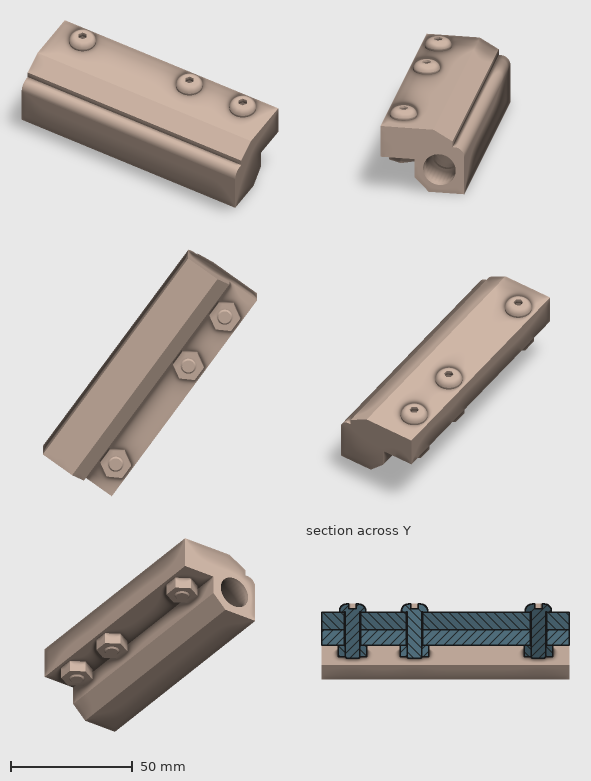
import cadquery as cq
import math

length = 101.6
depth = 35.0
body_height = 20.5
flange_thickness = 6.5
block_depth = 20.8
block_chamfer = 6.0
front_edge_radius = 4.0

port_y = 10.4
port_z = 10.2
port_mouth_diameter = 13.6
port_root_diameter = 12.6
port_taper = 1 / 16
port_depth = (port_mouth_diameter - port_root_diameter) / port_taper
pilot_diameter = 11.1
pilot_depth = 20.3
drill_point_angle = 118.0
drill_point_depth = pilot_diameter / 2 / math.tan(math.radians(drill_point_angle / 2))

plate_thickness = 7.1
plate_front_y = 4.9
bevel_width = 7.9
bevel_drop = 4.6
plate_top = body_height + plate_thickness

screw_xs = (12.7, 63.5, 88.9)
screw_y = 27.7
clearance_diameter = 6.7
shank_diameter = 6.3
shank_length = 19.1
tip_chamfer = 0.6
head_diameter = 11.1
head_height = 3.5
head_rim_height = 0.9
head_flat_diameter = 5.0
socket_width = 3.4
socket_depth = 2.0
nut_width = 11.1
nut_height = 4.9


def hex_prism(plane_z, across_flats, height):
    """Upright hexagonal prism with two corners on the X axis."""
    across_corners = across_flats / math.cos(math.pi / 6)
    return cq.Workplane("XY", origin=(0, 0, plane_z)).polygon(6, across_corners).extrude(height)


def cut_screw_holes(solid):
    """Clearance holes for the screws, through the full height."""
    return (
        solid.faces(">Z").workplane(origin=(0, 0, 0))
        .pushPoints([(x, screw_y) for x in screw_xs])
        .hole(clearance_diameter)
    )


def make_port_cutter():
    """Tapered bore, pilot hole and drill point as one turned shape along +X."""
    mouth_radius = port_mouth_diameter / 2
    root_radius = port_root_diameter / 2
    pilot_radius = pilot_diameter / 2
    return (
        cq.Workplane("XY", origin=(0, port_y, port_z))
        .moveTo(0, 0)
        .lineTo(0, mouth_radius)
        .lineTo(port_depth, root_radius)
        .lineTo(port_depth, pilot_radius)
        .lineTo(pilot_depth, pilot_radius)
        .lineTo(pilot_depth + drill_point_depth, 0)
        .close()
        .revolve(360, (0, 0, 0), (1, 0, 0))
    )


def make_body():
    """L-shaped block with a rear flange, a rounded front edge and a tapered port."""
    flange_underside = body_height - flange_thickness
    profile = (
        cq.Workplane("YZ")
        .moveTo(0, 0)
        .lineTo(block_depth - block_chamfer, 0)
        .lineTo(block_depth, block_chamfer)
        .lineTo(block_depth, flange_underside)
        .lineTo(depth, flange_underside)
        .lineTo(depth, body_height)
        .lineTo(front_edge_radius, body_height)
        .radiusArc((0, body_height - front_edge_radius), -front_edge_radius)
        .close()
    )
    return cut_screw_holes(profile.extrude(length)).cut(make_port_cutter())


def make_cover_plate():
    """Flat plate on the body with a bevelled front edge."""
    profile = (
        cq.Workplane("YZ")
        .moveTo(plate_front_y, body_height)
        .lineTo(depth, body_height)
        .lineTo(depth, plate_top)
        .lineTo(plate_front_y + bevel_width, plate_top)
        .lineTo(plate_front_y, plate_top - bevel_drop)
        .close()
    )
    return cut_screw_holes(profile.extrude(length))


def make_screw():
    """Button-head screw on the Z axis, with the underside of its head at Z = 0."""
    head_radius = head_diameter / 2
    flat_radius = head_flat_diameter / 2
    dome_width = head_radius - flat_radius
    dome_height = head_height - head_rim_height
    dome_radius = (dome_width**2 + dome_height**2) / (2 * dome_height)
    head = (
        cq.Workplane("XZ")
        .moveTo(0, 0)
        .lineTo(head_radius, 0)
        .lineTo(head_radius, head_rim_height)
        .radiusArc((flat_radius, head_height), -dome_radius)
        .lineTo(0, head_height)
        .close()
        .revolve(360, (0, 0, 0), (0, 1, 0))
    )
    shank = cq.Workplane("XY").circle(shank_diameter / 2).extrude(-shank_length)
    shank = shank.faces("<Z").chamfer(tip_chamfer)
    socket = hex_prism(head_height, socket_width, -socket_depth)
    return head.union(shank).cut(socket)


def make_nut():
    """Hex nut on the Z axis, with its top face at Z = 0."""
    bore = cq.Workplane("XY").circle(shank_diameter / 2).extrude(-nut_height)
    return hex_prism(0, nut_width, -nut_height).cut(bore)


body = make_body()
cover_plate = make_cover_plate()

screws = []
nuts = []
for screw_x in screw_xs:
    screws.append(make_screw().translate((screw_x, screw_y, plate_top)).val())
    nuts.append(make_nut().translate((screw_x, screw_y, body_height - flange_thickness)).val())

result = cq.Compound.makeCompound([body.val(), cover_plate.val(), *screws, *nuts])